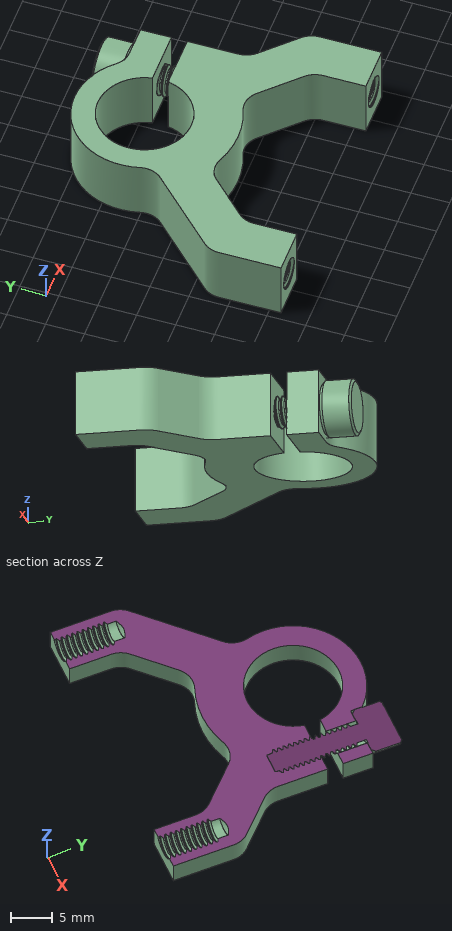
import cadquery as cq
import math


THICKNESS = 8.0
BORE_RADIUS = 6.0
RING_RADIUS = 9.0
HUB_RADIUS = 12.0
SLIT_WIDTH = 2.0
EAR_TOP = 5.0

LEG_WIDTH = 6.0
LEG_SPACING = 32.0
LEG_END = -24.0

BLEND_RADIUS = 3.0

THREAD_DIAMETER = 4.0
THREAD_PITCH = 0.7
THREAD_HEIGHT = THREAD_PITCH * math.sqrt(3) / 2
THREAD_DEPTH = 0.625 * THREAD_HEIGHT
MAJOR_RADIUS = THREAD_DIAMETER / 2
MINOR_RADIUS = MAJOR_RADIUS - THREAD_DEPTH
CREST_WIDTH = THREAD_PITCH / 8
THREAD_OVERLAP = 0.05
ROOT_WIDTH = CREST_WIDTH + 2 * (THREAD_DEPTH + THREAD_OVERLAP) * math.tan(math.radians(30))
LEG_HOLE_DEPTH = 8.0
DRILL_TIP_ANGLE = 118.0

SCREW_X = 9.6
SCREW_LENGTH = 12.0
HEAD_RADIUS = 3.5
HEAD_HEIGHT = 4.0
HEAD_BEVEL_HEIGHT = 0.25
HEAD_BEVEL_INSET = 0.35
HEAD_BASE_CHAMFER = 0.4

EAR_RIGHT = SCREW_X + HEAD_RADIUS
LEG_X = LEG_SPACING / 2
LEG_OUTER = LEG_X + LEG_WIDTH / 2
LEG_INNER = LEG_X - LEG_WIDTH / 2
ARM_OFFSET = LEG_WIDTH / 2 * math.sqrt(2)
SCREW_TIP = EAR_TOP - SCREW_LENGTH
LEG_THREAD_TURNS = math.floor(LEG_HOLE_DEPTH / THREAD_PITCH)
SCREW_THREAD_TURNS = math.floor(SCREW_LENGTH / THREAD_PITCH) - 2


def plate(outline):
    return outline.extrude(THICKNESS / 2, both=True)


def along_y(x, y):
    """Workplane at (x, y) on the mid-plane whose normal points along +Y."""
    return cq.Workplane(cq.Plane(origin=(x, y, 0), xDir=(1, 0, 0), normal=(0, 1, 0)))


def moved_along_y(solid, x, y):
    """Turn a solid standing on the XY plane to point along +Y from (x, y)."""
    upright = cq.Workplane(obj=solid)
    return upright.rotate((0, 0, 0), (1, 0, 0), -90).translate((x, y, 0))


def thread_ridge(x, y, turns):
    """Helical ridge of 60 degree thread, starting at (x, y) and winding along +Y.

    The ridge is rooted THREAD_OVERLAP inside the core. Each turn has its own faces.
    """
    root_radius = MINOR_RADIUS - THREAD_OVERLAP
    profile = [
        (root_radius, -ROOT_WIDTH / 2),
        (MAJOR_RADIUS, -CREST_WIDTH / 2),
        (MAJOR_RADIUS, CREST_WIDTH / 2),
        (root_radius, ROOT_WIDTH / 2),
    ]
    helices = [
        cq.Wire.makeHelix(THREAD_PITCH, THREAD_PITCH, radius).translate(cq.Vector(0, 0, height))
        for radius, height in profile
    ]
    one_turn = [
        cq.Face.makeRuledSurface(helix, helices[(index + 1) % len(helices)])
        for index, helix in enumerate(helices)
    ]
    start_corners = [cq.Vector(radius, 0, height) for radius, height in profile]
    start_cap = cq.Face.makeFromWires(cq.Wire.makePolygon(start_corners, close=True))
    faces = [start_cap, start_cap.translate(cq.Vector(0, 0, turns * THREAD_PITCH))]
    for turn in range(turns):
        for face in one_turn:
            faces.append(face.translate(cq.Vector(0, 0, turn * THREAD_PITCH)))
    return moved_along_y(cq.Solid.makeSolid(cq.Shell.makeShell(faces)), x, y)


def leg(side):
    """Leg on one side (-1 left, +1 right): a 45 degree arm, then straight down."""
    outline = (
        cq.Workplane("XY")
        .moveTo(0, ARM_OFFSET)
        .lineTo(side * LEG_OUTER, ARM_OFFSET - LEG_OUTER)
        .lineTo(side * LEG_OUTER, LEG_END)
        .lineTo(side * LEG_INNER, LEG_END)
        .lineTo(side * LEG_INNER, -ARM_OFFSET - LEG_INNER)
        .lineTo(0, -ARM_OFFSET)
        .close()
    )
    return plate(outline)


def hub():
    """R12 bulge, limited to the sector below the two arms."""
    reach = 2 * HUB_RADIUS
    sector = plate(cq.Workplane("XY").polyline([(0, 0), (-reach, -reach), (reach, -reach)]).close())
    return plate(cq.Workplane("XY").circle(HUB_RADIUS)).intersect(sector)


def ear():
    """Block right of the ring, carried down into the right arm."""
    outline = (
        cq.Workplane("XY")
        .moveTo(0, EAR_TOP)
        .lineTo(EAR_RIGHT, EAR_TOP)
        .lineTo(EAR_RIGHT, ARM_OFFSET - EAR_RIGHT)
        .lineTo(0, ARM_OFFSET - EAR_RIGHT)
        .close()
    )
    return plate(outline)


def edge_near(x, y):
    return cq.selectors.NearestToPointSelector((x, y, 0))


def drilled_hole(x, y, depth):
    """Tapping-drill hole entering at (x, y) along +Y, countersunk to the thread size."""
    tip_length = MINOR_RADIUS / math.tan(math.radians(DRILL_TIP_ANGLE / 2))
    half_profile = (
        cq.Workplane("XZ")
        .lineTo(MAJOR_RADIUS, 0)
        .lineTo(MINOR_RADIUS, THREAD_DEPTH)
        .lineTo(MINOR_RADIUS, depth)
        .lineTo(0, depth + tip_length)
        .close()
    )
    drill = half_profile.revolve(360, (0, 0, 0), (0, 1, 0)).val()
    return moved_along_y(drill, x, y)


def screw_ridge():
    """Thread of the screw, starting one turn in from its tip."""
    return thread_ridge(SCREW_X, SCREW_TIP + THREAD_PITCH, SCREW_THREAD_TURNS)


def make_clamp():
    body = plate(cq.Workplane("XY").circle(RING_RADIUS))
    body = body.union(hub()).union(ear())
    for side in (-1, 1):
        body = body.union(leg(side))
    body = body.clean()

    for side in (-1, 1):
        body = body.edges(edge_near(side * LEG_OUTER, ARM_OFFSET - LEG_OUTER)).fillet(BLEND_RADIUS)
        body = body.edges(edge_near(side * LEG_INNER, -ARM_OFFSET - LEG_INNER)).fillet(BLEND_RADIUS)

    half_width = LEG_WIDTH / 2
    hub_reach = math.sqrt(HUB_RADIUS**2 - half_width**2)
    hub_corner_x = (hub_reach - half_width) / math.sqrt(2)
    for side in (-1, 1):
        body = body.edges(edge_near(side * hub_corner_x, -hub_corner_x - ARM_OFFSET)).fillet(BLEND_RADIUS)
    ring_reach = math.sqrt(RING_RADIUS**2 - half_width**2)
    ring_corner_x = -(ring_reach + half_width) / math.sqrt(2)
    body = body.edges(edge_near(ring_corner_x, ring_corner_x + ARM_OFFSET)).fillet(BLEND_RADIUS)
    body = body.edges(edge_near(EAR_RIGHT, ARM_OFFSET - EAR_RIGHT)).fillet(BLEND_RADIUS)
    ear_corner_x = math.sqrt(RING_RADIUS**2 - EAR_TOP**2)
    body = body.edges(edge_near(ear_corner_x, EAR_TOP)).fillet(BLEND_RADIUS)

    body = body.cut(plate(cq.Workplane("XY").circle(BORE_RADIUS)))
    slit = cq.Workplane("XY").center(EAR_RIGHT / 2, 0).rect(EAR_RIGHT, SLIT_WIDTH)
    body = body.cut(plate(slit))

    body = body.cut(along_y(SCREW_X, EAR_TOP).circle(HEAD_RADIUS).extrude(HEAD_HEIGHT))
    body = body.cut(along_y(SCREW_X, 0).circle(MAJOR_RADIUS).extrude(EAR_TOP))
    body = body.cut(along_y(SCREW_X, SCREW_TIP).circle(MINOR_RADIUS).extrude(SCREW_LENGTH))
    body = body.cut(screw_ridge())

    for side in (-1, 1):
        body = body.cut(drilled_hole(side * LEG_X, LEG_END, LEG_HOLE_DEPTH))
        body = body.cut(thread_ridge(side * LEG_X, LEG_END - THREAD_PITCH, LEG_THREAD_TURNS))
    return body.solids()


def make_screw():
    """Cap screw pointing along -Y, its head resting on the ear."""
    core = along_y(SCREW_X, SCREW_TIP).circle(MINOR_RADIUS).extrude(SCREW_LENGTH)
    profile = (
        cq.Workplane("XY")
        .moveTo(SCREW_X, EAR_TOP)
        .lineTo(SCREW_X + HEAD_RADIUS - HEAD_BASE_CHAMFER, EAR_TOP)
        .lineTo(SCREW_X + HEAD_RADIUS, EAR_TOP + HEAD_BASE_CHAMFER)
        .lineTo(SCREW_X + HEAD_RADIUS, EAR_TOP + HEAD_HEIGHT - HEAD_BEVEL_HEIGHT)
        .lineTo(SCREW_X + HEAD_RADIUS - HEAD_BEVEL_INSET, EAR_TOP + HEAD_HEIGHT)
        .lineTo(SCREW_X, EAR_TOP + HEAD_HEIGHT)
        .close()
    )
    axis_foot = (SCREW_X, 0, 0)
    axis_far = (SCREW_X, 1, 0)
    head = profile.revolve(360, axis_foot, axis_far)
    return core.union(head).union(screw_ridge()).solids()


clamp = make_clamp()
screw = make_screw()

result = cq.Compound.makeCompound([clamp.val(), screw.val()])